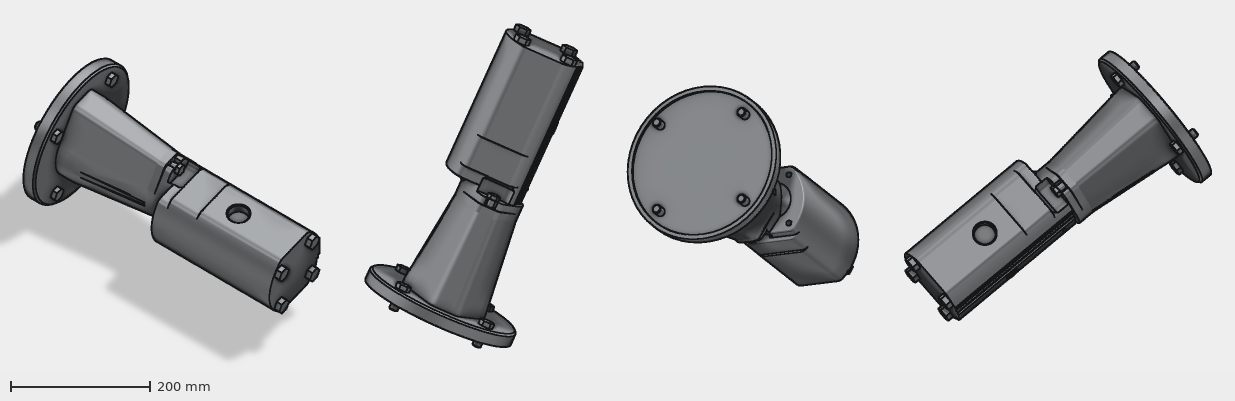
import cadquery as cq
import math

PLATE_FACE = 12.0
PLATE_BACK = 32.3
NECK_START = 35.0
NECK_END = 179.5
NECK_FLANGE_END = 192.5
PUMP_FLANGE_END = 204.0
COVER_FACE = 213.7
COVER_RIM = 231.5
COVER_BACK = 240.0
GEAR_START = 281.5
PUMP_END = 427.0
OVERALL_LENGTH = 436.0

PLATE_DIAMETER = 230.0
PLATE_EDGE_CHAMFER = 3.0
RECESS_RADIUS = 108.0
RECESS_DEPTH = 4.5

STUD_RADIUS = 6.5
STUD_OFFSET = 65.5
STUD_CHAMFER = 1.5
NUT_ACROSS_FLATS = 18.8
NUT_HEIGHT = 8.0

NECK_RADIUS = 48.0
NECK_HALF_HEIGHT = 65.0
NECK_TANGENT_ANGLE = math.radians(32.6)
NECK_CORNER = 5.5
NECK_WIDENING = 1.34

GROOVE_START = 59.5
GROOVE_WIDTH_START = 13.0
GROOVE_WIDTH_END = 8.5
GROOVE_DEPTH_END = 2.5
GROOVE_CUT_HEIGHT = 13.0

PUMP_FLANGE_HALF_HEIGHT = 61.0
PUMP_FLANGE_TANGENT_ANGLE = math.radians(36)
SLOT_WIDTH = 16.5
FLANGE_BOLT_Z = 53.0
FLANGE_BOLT_RADIUS = 5.2
FLANGE_BOLT_FLATS = 15.5
FLANGE_BOLT_HEAD = 6.5

BOSS_Y = -30.5
BOSS_TIP = 202.0
BOSS_TIP_RADIUS = 18.0
BOSS_BASE_RADIUS = 27.5

PUMP_Y = -18.5
PUMP_HALF_WIDTH = 60.0
PUMP_SIDE_RADIUS = 75.5
GEAR_HALF_HEIGHT = 59.0
BEARING_HALF_HEIGHT = 56.0
COVER_HALF_HEIGHT = 49.5
PUMP_EDGE_FILLET = 12.0
COVER_FACE_FILLET = 3.0
COVER_RIM_FILLET = 2.0

RAIL_BASE_Y = 33.5
RAIL_TOP_Y = 42.5
RAIL_STEPS = ((35.8, 30.5), (39.0, 24.0), (RAIL_TOP_Y, 17.5))

POCKET_HALF_WIDTH = 25.0
POCKET_FLOOR_Z = 37.0
POCKET_FILLET = 10.5
POCKET_BACK_CHAMFER = 6.5

PUMP_BOLT_OFFSET = 36.5
PUMP_BOLT_FLATS = 20.0
COVER_HOLE_RADIUS = 4.0
COVER_HOLE_DEPTH = 17.5
PORT_X = 326.5
PORT_RADIUS = 15.5
PORT_MOUTH_RADIUS = 17.5
PORT_DEPTH = 15.5
SIDE_CAP_RADIUS = 10.0
SIDE_CAP_HEIGHT = 1.7
PLUG_X = 228.0
PLUG_RADIUS = 2.5


def section(x):
    """Plane across the part at station x, with local axes Y and Z."""
    return cq.Workplane("YZ", origin=(x, 0, 0))


def box(x_range, y_range, z_range):
    size = [high - low for low, high in (x_range, y_range, z_range)]
    corner = (x_range[0], y_range[0], z_range[0])
    return cq.Workplane("XY").box(*size, centered=False).translate(corner)


def cylinder(start, end, y, z, radius):
    return section(start).center(y, z).circle(radius).extrude(end - start)


def hexagon(start, end, y, z, across_flats):
    """Hex head with flats facing up and down."""
    corner_diameter = across_flats / math.cos(math.pi / 6)
    return section(start).center(y, z).polygon(6, corner_diameter).extrude(end - start)


def neck_outline(plane, half_height, tangent_angle, scale=1.0):
    """Circle whose tangents lean in to a flat top and bottom with rounded corners."""
    sin_a = math.sin(tangent_angle)
    cos_a = math.cos(tangent_angle)
    tangent_y = NECK_RADIUS * cos_a
    tangent_z = NECK_RADIUS * sin_a
    top_y = tangent_y - (half_height - tangent_z) * sin_a / cos_a

    radius = NECK_RADIUS * scale
    side = (tangent_y * scale, tangent_z * scale)
    bend = ((top_y + NECK_CORNER * sin_a) * scale, (half_height - NECK_CORNER * cos_a) * scale)
    flat = ((top_y - NECK_CORNER) * scale, half_height * scale)
    return (
        plane.moveTo(side[0], -side[1])
        .threePointArc((radius, 0), side)
        .lineTo(*bend)
        .tangentArcPoint(flat, relative=False)
        .lineTo(-flat[0], flat[1])
        .tangentArcPoint((-bend[0], bend[1]), relative=False)
        .lineTo(-side[0], side[1])
        .threePointArc((-radius, 0), (-side[0], -side[1]))
        .lineTo(-bend[0], -bend[1])
        .tangentArcPoint((-flat[0], -flat[1]), relative=False)
        .lineTo(flat[0], -flat[1])
        .tangentArcPoint((bend[0], -bend[1]), relative=False)
        .close()
    )


def pump_block(start, end, half_height, face_fillet=0):
    """Housing slice with bowed sides and a flat top and bottom."""
    half_width = PUMP_HALF_WIDTH
    side_sagitta = PUMP_SIDE_RADIUS - math.sqrt(PUMP_SIDE_RADIUS**2 - half_height**2)
    corner = half_width - side_sagitta
    block = (
        section(start)
        .center(PUMP_Y, 0)
        .moveTo(corner, -half_height)
        .threePointArc((half_width, 0), (corner, half_height))
        .lineTo(-corner, half_height)
        .threePointArc((-half_width, 0), (-corner, -half_height))
        .close()
        .extrude(end - start)
        .edges("|X")
        .fillet(PUMP_EDGE_FILLET)
    )
    if face_fillet > 0:
        block = block.faces("<X").fillet(face_fillet)
    flat_cut = box((start, end), (RAIL_BASE_Y, PUMP_Y + half_width), (-half_height, half_height))
    block = block.cut(flat_cut)
    for step_y, step_half_height in RAIL_STEPS:
        step = box((start + face_fillet, end), (0, step_y), (-step_half_height, step_half_height))
        block = block.union(step)
    return block


def mounting_plate():
    plate = cylinder(PLATE_FACE, PLATE_BACK, 0, 0, PLATE_DIAMETER / 2)
    plate = plate.faces(">X").chamfer(PLATE_EDGE_CHAMFER)
    plate = plate.cut(cylinder(PLATE_FACE, PLATE_FACE + RECESS_DEPTH, 0, 0, RECESS_RADIUS))
    for y in (-STUD_OFFSET, STUD_OFFSET):
        for z in (-STUD_OFFSET, STUD_OFFSET):
            stud = cylinder(0, PLATE_BACK, y, z, STUD_RADIUS).faces("<X").chamfer(STUD_CHAMFER)
            plate = plate.union(stud)
            nut = hexagon(PLATE_BACK, PLATE_BACK + NUT_HEIGHT, y, z, NUT_ACROSS_FLATS)
            plate = plate.union(nut)
    return plate


def neck():
    shape = (NECK_HALF_HEIGHT, NECK_TANGENT_ANGLE)
    foot = neck_outline(section(PLATE_BACK), *shape, NECK_WIDENING).extrude(NECK_START - PLATE_BACK)
    wide = neck_outline(section(NECK_START), *shape, NECK_WIDENING).wires().val()
    narrow = neck_outline(section(NECK_END), *shape).wires().val()
    taper = cq.Workplane(cq.Solid.makeLoft([wide, narrow], True))
    flange = neck_outline(section(NECK_END), *shape).extrude(NECK_FLANGE_END - NECK_END)
    return foot.union(taper).cut(side_grooves()).union(flange)


def side_grooves():
    """Tapered cutters that run out to nothing at the wide end of the neck."""
    run = (GROOVE_START - NECK_START) / (NECK_END - NECK_START)
    start_y = NECK_RADIUS * (NECK_WIDENING + (1 - NECK_WIDENING) * run)
    end_y = NECK_RADIUS - GROOVE_DEPTH_END
    groove = (
        section(GROOVE_START)
        .center(-start_y - GROOVE_CUT_HEIGHT / 2, 0)
        .rect(GROOVE_CUT_HEIGHT, GROOVE_WIDTH_START)
        .workplane(offset=NECK_END - GROOVE_START)
        .center(start_y - end_y, 0)
        .rect(GROOVE_CUT_HEIGHT, GROOVE_WIDTH_END)
        .loft()
    )
    return groove.union(groove.mirror("XZ"))


def pump_flange():
    shape = (PUMP_FLANGE_HALF_HEIGHT, PUMP_FLANGE_TANGENT_ANGLE)
    thickness = PUMP_FLANGE_END - NECK_FLANGE_END
    flange = neck_outline(section(NECK_FLANGE_END), *shape).extrude(thickness)
    web = neck_outline(section(NECK_FLANGE_END), *shape).extrude(COVER_FACE - NECK_FLANGE_END)
    web = web.intersect(
        box(
            (NECK_FLANGE_END, COVER_FACE),
            (-NECK_RADIUS, 0),
            (-COVER_HALF_HEIGHT, COVER_HALF_HEIGHT),
        )
    )
    boss = (
        section(BOSS_TIP)
        .center(BOSS_Y, 0)
        .circle(BOSS_TIP_RADIUS)
        .workplane(offset=COVER_FACE - BOSS_TIP)
        .circle(BOSS_BASE_RADIUS)
        .loft()
    )
    return flange.union(web).union(boss)


def front_cover():
    body = pump_block(COVER_FACE, COVER_BACK, COVER_HALF_HEIGHT, COVER_FACE_FILLET)
    shoulder = pump_block(PUMP_FLANGE_END, COVER_BACK, COVER_HALF_HEIGHT, COVER_FACE_FILLET)
    shoulder = shoulder.intersect(
        box(
            (PUMP_FLANGE_END, COVER_BACK),
            (0, PUMP_HALF_WIDTH),
            (-COVER_HALF_HEIGHT, COVER_HALF_HEIGHT),
        )
    )
    rim = pump_block(COVER_RIM, COVER_BACK, BEARING_HALF_HEIGHT, COVER_RIM_FILLET)
    body = body.union(shoulder)
    hole_end = COVER_FACE + COVER_HOLE_DEPTH
    for z in (-PUMP_BOLT_OFFSET, PUMP_BOLT_OFFSET):
        hole = cylinder(COVER_FACE, hole_end, PUMP_Y - PUMP_BOLT_OFFSET, z, COVER_HOLE_RADIUS)
        body = body.cut(hole)
    plug = cq.Workplane("XY").sphere(PLUG_RADIUS)
    body = body.union(plug.translate((PLUG_X, RAIL_TOP_Y, 0)))
    return body.union(rim)


def cut_bolt_spaces(body):
    """Open slots in the pump flange and pockets in the cover, above and below."""
    slot_radius = SLOT_WIDTH / 2
    for side in (-1, 1):
        pocket = (
            box(
                (PUMP_FLANGE_END, COVER_RIM),
                (-POCKET_HALF_WIDTH, POCKET_HALF_WIDTH),
                (POCKET_FLOOR_Z, NECK_HALF_HEIGHT),
            )
            .edges("|X and <Z")
            .fillet(POCKET_FILLET)
            .faces("<Z")
            .edges(">X")
            .chamfer(POCKET_BACK_CHAMFER)
        )
        slot = cylinder(NECK_FLANGE_END, PUMP_FLANGE_END, 0, FLANGE_BOLT_Z, slot_radius).union(
            box(
                (NECK_FLANGE_END, PUMP_FLANGE_END),
                (-slot_radius, slot_radius),
                (FLANGE_BOLT_Z, NECK_HALF_HEIGHT),
            )
        )
        space = pocket.union(slot)
        if side < 0:
            space = space.mirror("XY")
        body = body.cut(space)
    return body


def flange_bolts():
    bolts = cq.Workplane("XY")
    head_end = PUMP_FLANGE_END + FLANGE_BOLT_HEAD
    for z in (-FLANGE_BOLT_Z, FLANGE_BOLT_Z):
        bolts = bolts.union(cylinder(NECK_FLANGE_END, PUMP_FLANGE_END, 0, z, FLANGE_BOLT_RADIUS))
        bolts = bolts.union(hexagon(PUMP_FLANGE_END, head_end, 0, z, FLANGE_BOLT_FLATS))
    return bolts


def pump_housing():
    housing = pump_block(COVER_BACK, GEAR_START, BEARING_HALF_HEIGHT)
    housing = housing.union(pump_block(GEAR_START, PUMP_END, GEAR_HALF_HEIGHT))
    for y in (PUMP_Y - PUMP_BOLT_OFFSET, PUMP_Y + PUMP_BOLT_OFFSET):
        for z in (-PUMP_BOLT_OFFSET, PUMP_BOLT_OFFSET):
            housing = housing.union(hexagon(PUMP_END, OVERALL_LENGTH, y, z, PUMP_BOLT_FLATS))
    return housing.cut(port()).union(side_cap())


def port():
    """Round port sunk into the top, with a chamfered mouth."""
    bore = cq.Workplane("XY", origin=(PORT_X, PUMP_Y, GEAR_HALF_HEIGHT))
    mouth_step = PORT_MOUTH_RADIUS - PORT_RADIUS
    mouth = (
        bore.circle(PORT_MOUTH_RADIUS)
        .workplane(offset=-mouth_step)
        .circle(PORT_RADIUS)
        .loft()
    )
    return bore.circle(PORT_RADIUS).extrude(-PORT_DEPTH).union(mouth)


def side_cap():
    """Flat port cap on the +Y side."""
    cap = cq.Workplane("XZ", origin=(PORT_X, RAIL_TOP_Y, 0))
    return cap.circle(SIDE_CAP_RADIUS).extrude(-SIDE_CAP_HEIGHT)


result = (
    mounting_plate()
    .union(neck())
    .union(pump_flange())
    .union(front_cover())
    .union(pump_housing())
)
result = cut_bolt_spaces(result).union(flange_bolts())